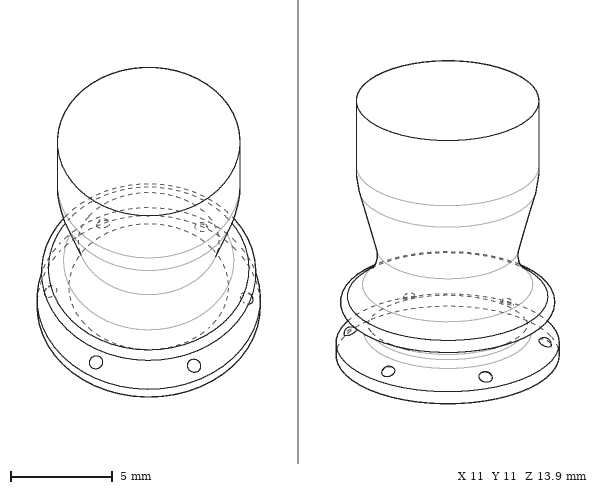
import cadquery as cq
import math

flange_radius = 5.5
flange_height = 0.67
slope_top_radius = 4.12
slope_top_height = 1.27

groove_radius = 3.93
groove_lower_radius = 3.98
groove_lower_height = 1.43
groove_height = 1.66
groove_top_radius = 4.07
groove_top_height = 2.0

bead_center_radius = 4.97
bead_center_height = 2.9
bead_radius = 0.3
bead_lower_angle = math.radians(-70)
bead_upper_angle = math.radians(97)

waist_bottom_radius = 4.19
waist_bottom_height = 3.86
waist_mid_radius = 3.55
waist_mid_height = 4.88
waist_top_radius = 3.51
waist_top_height = 5.88

flare_top_radius = 4.37
flare_top_height = 9.12
shoulder_height = 10.36
head_radius = 9.0 / 2
total_height = 13.93

stud_count = 6
stud_circle_radius = 4.79
stud_center_height = 0.86
stud_radius = 0.35


def bead_point(angle):
    """Point on the bead's round section, as (radius, height)."""
    return (
        bead_center_radius + bead_radius * math.cos(angle),
        bead_center_height + bead_radius * math.sin(angle),
    )


def make_body():
    """Revolve the half section around the Z axis."""
    half_section = (
        cq.Workplane("XZ")
        .lineTo(flange_radius, 0)
        .lineTo(flange_radius, flange_height)
        .lineTo(slope_top_radius, slope_top_height)
        .threePointArc((groove_lower_radius, groove_lower_height), (groove_radius, groove_height))
        .tangentArcPoint((groove_top_radius, groove_top_height), relative=False)
        .lineTo(*bead_point(bead_lower_angle))
        .threePointArc(bead_point(0), bead_point(bead_upper_angle))
        .lineTo(waist_bottom_radius, waist_bottom_height)
        .threePointArc((waist_mid_radius, waist_mid_height), (waist_top_radius, waist_top_height))
        .lineTo(flare_top_radius, flare_top_height)
        .tangentArcPoint((head_radius, shoulder_height), relative=False)
        .lineTo(head_radius, total_height)
        .lineTo(0, total_height)
        .close()
    )
    return half_section.revolve(360, (0, 0, 0), (0, 1, 0))


def make_studs():
    """Spheres evenly spaced around the flange, partly sunk into its slope."""
    return (
        cq.Workplane("XY")
        .workplane(offset=stud_center_height)
        .polarArray(stud_circle_radius, 0, 360, stud_count)
        .sphere(stud_radius)
    )


result = make_body().union(make_studs())